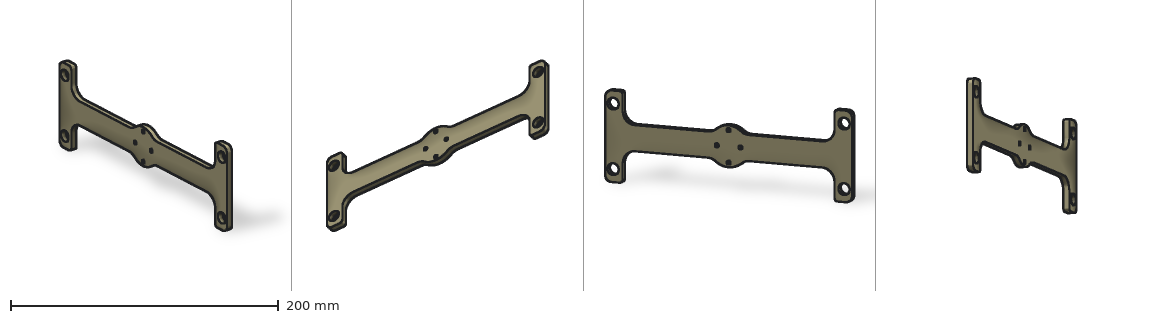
import cadquery as cq
import math

length = 198.0
thickness = 5.0
height = 70.0

tab_width = 14.0
bar_height = 20.0
outer_corner_radius = 5.0
inner_corner_radius = 2.5
bar_fillet_radius = 10.0

pad_radius = 16.0
pad_blend_radius = 10.0

mount_hole_diameter = 9.0
mount_hole_inset = 6.3
mount_hole_spacing = 50.0

pad_hole_diameter = 3.0
pad_hole_offset_x = 9.5
pad_hole_offset_z = 12.5


def mirrored_signs():
    """Sign pairs for the four quadrants of the plate."""
    return [(x, z) for x in (-1, 1) for z in (-1, 1)]


def select_edges_at(body, points):
    """Select the edges through the thickness at the given (x, z) points."""
    edges = body.edges("|Y").vals()
    chosen = []
    for edge in edges:
        center = edge.Center()
        if any(math.hypot(center.x - x, center.z - z) < 0.02 for x, z in points):
            chosen.append(edge)
    return body.newObject(chosen)


def round_corners(body, x, z, radius):
    """Round the four edges at (+-x, +-z)."""
    points = [(sx * x, sz * z) for sx, sz in mirrored_signs()]
    return select_edges_at(body, points).fillet(radius)


def make_blank():
    """Two end tabs joined by a bar with a round pad in the middle."""
    bar = cq.Workplane("XY").box(length, thickness, bar_height)
    tab_center = (length - tab_width) / 2
    for side in (-1, 1):
        tab = cq.Workplane("XY").box(tab_width, thickness, height)
        bar = bar.union(tab.translate((side * tab_center, 0, 0)))
    pad = cq.Workplane("XZ").circle(pad_radius).extrude(thickness / 2, both=True)
    return bar.union(pad).clean()


def drill(body, points, diameter):
    """Drill through holes along Y at the given (x, z) points."""
    cutter = cq.Workplane("XZ").pushPoints(points).circle(diameter / 2)
    return body.cut(cutter.extrude(thickness, both=True))


tab_inner_x = length / 2 - tab_width
pad_meets_bar_x = math.sqrt(pad_radius**2 - (bar_height / 2) ** 2)
plate = make_blank()
plate = round_corners(plate, length / 2, height / 2, outer_corner_radius)
plate = round_corners(plate, tab_inner_x, height / 2, inner_corner_radius)
plate = round_corners(plate, tab_inner_x, bar_height / 2, bar_fillet_radius)
plate = round_corners(plate, pad_meets_bar_x, bar_height / 2, pad_blend_radius)

mount_x = length / 2 - mount_hole_inset
mount_z = mount_hole_spacing / 2
mount_points = [(sx * mount_x, sz * mount_z) for sx, sz in mirrored_signs()]
plate = drill(plate, mount_points, mount_hole_diameter)

pad_points = [(side * pad_hole_offset_x, 0) for side in (-1, 1)]
pad_points += [(0, side * pad_hole_offset_z) for side in (-1, 1)]
plate = drill(plate, pad_points, pad_hole_diameter)

result = plate